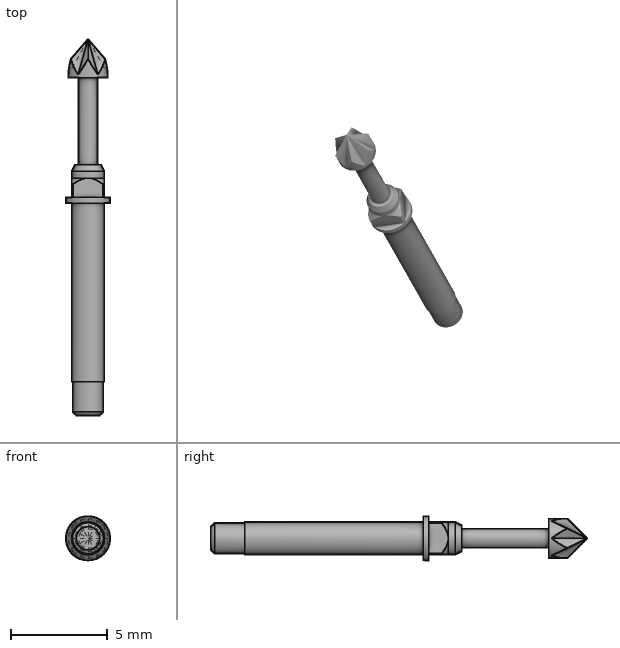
import cadquery as cq
import math


total_length = 19.5
tip_y = 8.5
rear_y = tip_y - total_length
head_length = 2.0
tail_length = 1.75
flange_front_y = 0.3
square_front_y = 1.3
collar_shoulder_y = 1.65
collar_front_y = 2.0

flange_diameter = 2.3
body_diameter = 1.7
tail_diameter = 1.6
collar_nose_diameter = 1.35
plunger_diameter = 1.0
head_diameter = 2.05

tail_chamfer = 0.2
square_width = body_diameter
corner_bevel_length = 0.32

point_count = 6
ridge_angle = 45.0
valley_angle = 29.2


def make_cylinder(diameter, start_y, end_y):
    """Cylinder about the Y axis between two stations."""
    profile = cq.Workplane("XZ", origin=(0, start_y, 0)).circle(diameter / 2)
    return profile.extrude(start_y - end_y)


def make_barrel():
    """Tail, body and stop flange."""
    tail_front_y = rear_y + tail_length
    tail = make_cylinder(tail_diameter, rear_y, tail_front_y)
    tail = tail.faces("<Y").chamfer(tail_chamfer)
    body = make_cylinder(body_diameter, tail_front_y, 0)
    flange = make_cylinder(flange_diameter, 0, flange_front_y)
    return tail.union(body).union(flange)


def make_square():
    """Square drive in front of the flange, corners turned round and bevelled."""
    corner_bevel_depth = (flange_diameter - square_width) / 2
    turned = make_cylinder(flange_diameter, flange_front_y, square_front_y)
    turned = turned.faces(">Y").chamfer(corner_bevel_length, corner_bevel_depth)
    prism = cq.Workplane("XZ", origin=(0, flange_front_y, 0)).rect(square_width, square_width)
    return turned.intersect(prism.extrude(flange_front_y - square_front_y))


def make_collar():
    """Round collar in front of the square, tapering to its nose."""
    return (
        cq.Workplane("XY")
        .moveTo(0, square_front_y)
        .lineTo(body_diameter / 2, square_front_y)
        .lineTo(body_diameter / 2, collar_shoulder_y)
        .lineTo(collar_nose_diameter / 2, collar_front_y)
        .lineTo(0, collar_front_y)
        .close()
        .revolve(360, (0, 0, 0), (0, 1, 0))
    )


def make_star_pyramid():
    """Pyramid on a star-shaped base, its apex at the tip and one ridge towards +Z."""
    base_y = tip_y - head_length
    ridge_radius = head_length * math.tan(math.radians(ridge_angle))
    valley_radius = head_length * math.tan(math.radians(valley_angle))
    base_points = []
    for index in range(2 * point_count):
        radius = ridge_radius if index % 2 == 0 else valley_radius
        angle = index * math.pi / point_count
        base_points.append(cq.Vector(radius * math.sin(angle), base_y, radius * math.cos(angle)))

    apex = cq.Vector(0, tip_y, 0)
    base_wire = cq.Wire.makePolygon(base_points, close=True)
    faces = [cq.Face.makeFromWires(base_wire)]
    for index, start in enumerate(base_points):
        end = base_points[(index + 1) % len(base_points)]
        facet = cq.Wire.makePolygon([start, end, apex], close=True)
        faces.append(cq.Face.makeFromWires(facet))
    return cq.Workplane(cq.Solid.makeSolid(cq.Shell.makeShell(faces)))


def make_plunger():
    """Slim plunger carrying the star-pointed head."""
    head_rear_y = tip_y - head_length
    shaft = make_cylinder(plunger_diameter, collar_front_y, head_rear_y)
    head = make_cylinder(head_diameter, head_rear_y, tip_y).intersect(make_star_pyramid())
    return shaft.union(head)


result = make_barrel().union(make_square()).union(make_collar()).union(make_plunger())